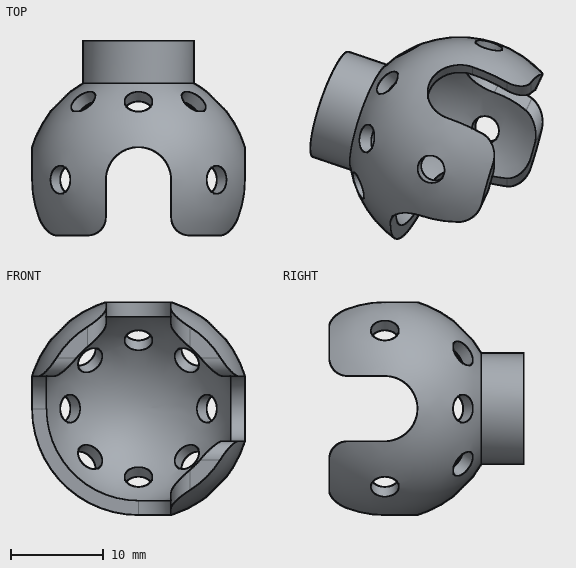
import cadquery as cq
import math

outer_radius = 12.0
wall = 1.5
inner_radius = outer_radius - wall
stem_diameter = 12.0
stem_end = 15.0
open_end = -6.02
slot_width = 7.0
slot_radius = slot_width / 2
lip_radius = 2.0
hole_diameter = 3.0
ring_hole_count = 8
ring_tilt = 45
lobe_hole_angles = (45, 135, 315)
reach = 2 * outer_radius


def stem():
    """Solid round stem, rooted inside the shell wall and cleared by the cavity later."""
    return cq.Workplane("XZ").circle(stem_diameter / 2).extrude(-stem_end)


def slot():
    """Round-ended slot along Z whose mouth flares out through rounded lips."""
    lip_start = open_end + lip_radius
    mouth = slot_radius + lip_radius
    lip_middle_x = mouth - lip_radius * math.cos(math.radians(45))
    lip_middle_y = lip_start - lip_radius * math.sin(math.radians(45))
    return (
        cq.Workplane("XY")
        .moveTo(-slot_radius, 0)
        .threePointArc((0, slot_radius), (slot_radius, 0))
        .lineTo(slot_radius, lip_start)
        .threePointArc((lip_middle_x, lip_middle_y), (mouth, open_end))
        .lineTo(-mouth, open_end)
        .threePointArc((-lip_middle_x, lip_middle_y), (-slot_radius, lip_start))
        .close()
        .extrude(reach, both=True)
    )


def missing_lobe():
    """Block that removes the -X, -Z lobe down to the level of the slot ends."""
    corner = (-reach, slot_radius - reach, -reach)
    return cq.Workplane("XY").box(reach, reach, reach, centered=False).translate(corner)


def radial_hole(tilt, around):
    """Hole from the centre outward, tilted from +Y and turned around the Y axis."""
    tilt = math.radians(tilt)
    around = math.radians(around)
    direction = cq.Vector(
        math.sin(tilt) * math.cos(around),
        math.cos(tilt),
        math.sin(tilt) * math.sin(around),
    )
    return cq.Workplane(
        cq.Solid.makeCylinder(hole_diameter / 2, reach, cq.Vector(0, 0, 0), direction)
    )


body = cq.Workplane("XZ").sphere(outer_radius).union(stem())
body = body.cut(cq.Workplane("XZ").sphere(inner_radius))

end_trim = cq.Workplane("XZ", origin=(0, open_end, 0)).rect(2 * reach, 2 * reach).extrude(reach)
body = body.cut(end_trim)

body = body.cut(slot())
body = body.cut(slot().rotate((0, 0, 0), (0, 1, 0), 90))
body = body.cut(missing_lobe())

for index in range(ring_hole_count):
    body = body.cut(radial_hole(ring_tilt, index * 360 / ring_hole_count))

for angle in lobe_hole_angles:
    body = body.cut(radial_hole(90, angle))

result = body